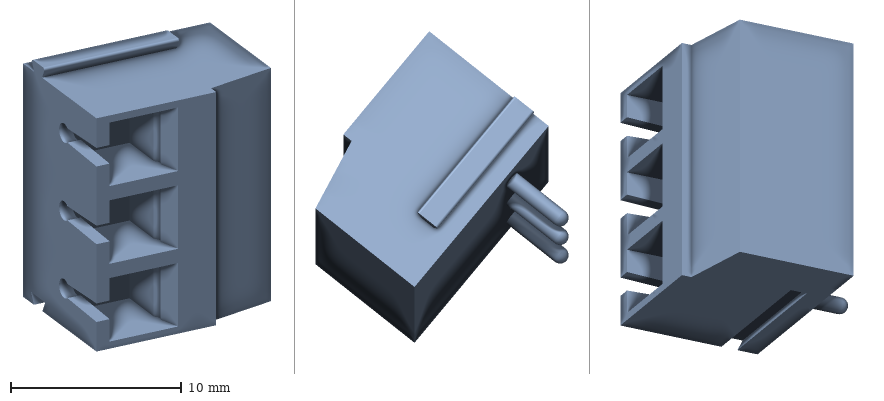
import cadquery as cq
import math

body_width = 9.05
body_depth = 12.5
body_height = 15.0
pole_count = 3
pole_pitch = body_height / pole_count

shelf_depth = 8.0
slope_bottom_x = 8.42
slope_top_x = 7.5

dovetail_x = 1.85
dovetail_length = 9.01
dovetail_angle = 26.6
rib_height = 0.7
rib_neck = 0.97
rib_rounding = 0.14
groove_height = 0.69
groove_neck = 1.05

pin_radius = 0.5
pin_length = 4.16
pin_embed = 0.78
pin_y = 3.44

front_wall = 0.88
slot_eye_x = 5.05
slot_eye_radius = 0.61
slot_half_inner = 0.44
slot_half_mouth = 0.6

cavity_height = 4.08
cavity_inner_x = 4.08
cavity_back_y = 4.9
ramp_start_x = 7.03
ramp_rise = 0.06
notch_start_x = 7.19
notch_end_x = 7.66
notch_rise = 0.06
notch_sag = 0.08
mouth_flare = 0.44
notch_start_y = cavity_back_y + ramp_rise
notch_end_y = notch_start_y + notch_rise
notch_bottom_y = notch_end_y + notch_sag
mouth_back_y = notch_end_y + mouth_flare


def pole_heights():
    """Z of each pole's centre line."""
    return [pole_pitch * (index + 0.5) for index in range(pole_count)]


def make_body():
    outline = [
        (0, 0),
        (body_width, 0),
        (body_width, shelf_depth),
        (slope_bottom_x, shelf_depth),
        (slope_top_x, body_depth),
        (0, body_depth),
    ]
    return cq.Workplane("XY").polyline(outline).close().extrude(body_height)


def make_dovetail(neck, height, base_z):
    """Dovetail bar along Y that widens upward from its neck."""
    half_neck = neck / 2
    half_top = half_neck + height * math.tan(math.radians(dovetail_angle))
    outline = [
        (dovetail_x - half_neck, base_z),
        (dovetail_x + half_neck, base_z),
        (dovetail_x + half_top, base_z + height),
        (dovetail_x - half_top, base_z + height),
    ]
    return cq.Workplane("XZ").polyline(outline).close().extrude(-dovetail_length)


def make_pin(z):
    """Round pin along X, embedded in the body and ending in a hemisphere."""
    return (
        cq.Workplane("XY", origin=(0, pin_y, z))
        .moveTo(pin_embed, 0)
        .lineTo(pin_embed, pin_radius)
        .lineTo(pin_radius - pin_length, pin_radius)
        .radiusArc((-pin_length, 0), -pin_radius)
        .close()
        .revolve(360, (0, 0, 0), (1, 0, 0))
    )


def make_slot(z):
    """Keyhole slot through the front wall, flaring toward the right side."""
    plane = cq.Workplane("XZ", origin=(0, 0, z))
    eye = plane.center(slot_eye_x, 0).circle(slot_eye_radius).extrude(-front_wall)
    outline = [
        (slot_eye_x, -slot_half_inner),
        (body_width, -slot_half_mouth),
        (body_width, slot_half_mouth),
        (slot_eye_x, slot_half_inner),
    ]
    return eye.union(plane.polyline(outline).close().extrude(-front_wall))


def make_cavity(z):
    """Wire cavity behind the slot, with a rounded notch and a flared mouth in its back wall."""
    notch_middle_x = (notch_start_x + notch_end_x) / 2
    return (
        cq.Workplane("XY", origin=(0, 0, z - cavity_height / 2))
        .moveTo(cavity_inner_x, front_wall)
        .lineTo(body_width, front_wall)
        .lineTo(body_width, mouth_back_y)
        .lineTo(notch_end_x, notch_end_y)
        .threePointArc((notch_middle_x, notch_bottom_y), (notch_start_x, notch_start_y))
        .lineTo(ramp_start_x, cavity_back_y)
        .lineTo(cavity_inner_x, cavity_back_y)
        .close()
        .extrude(cavity_height)
    )


rib = make_dovetail(rib_neck, rib_height, body_height).edges("|Y and >Z").fillet(rib_rounding)
groove = make_dovetail(groove_neck, groove_height, 0)

result = make_body().union(rib).cut(groove)
for pole_z in pole_heights():
    result = result.union(make_pin(pole_z))
    result = result.cut(make_slot(pole_z)).cut(make_cavity(pole_z))